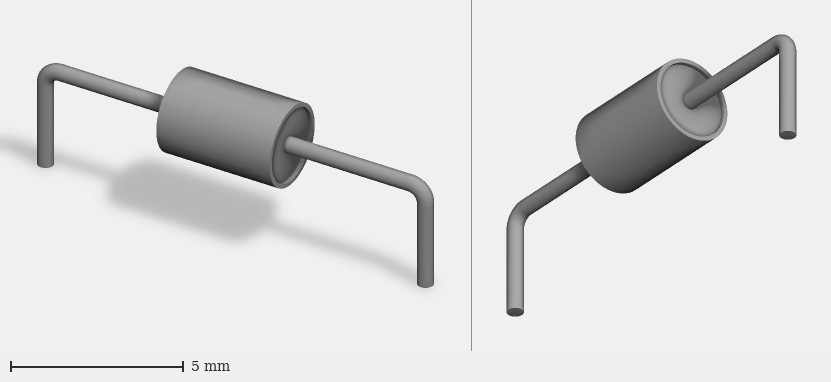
import cadquery as cq

overall_length = 13.2
overall_height = 4.6
body_diameter = 2.6
body_length = 3.79
recess_diameter = 2.34
recess_depth = 0.13
wire_diameter = 0.5

wire_radius = wire_diameter / 2
bend_radius = 1.5 * wire_diameter - wire_radius
leg_x = overall_length / 2 - wire_radius
leg_bottom_z = body_diameter / 2 - overall_height


def make_body():
    """Cylinder with a shallow round recess in each end."""
    body = cq.Workplane("YZ", origin=(-body_length / 2, 0, 0)).circle(body_diameter / 2).extrude(body_length)
    for face in ("<X", ">X"):
        body = body.faces(face).workplane().circle(recess_diameter / 2).cutBlind(-recess_depth)
    return body


def make_lead(side):
    """Round wire from the body centre outward, bent down into a leg; side is -1 or 1."""
    bend_start_x = leg_x - bend_radius
    path = (
        cq.Workplane("XZ")
        .moveTo(0, 0)
        .lineTo(side * bend_start_x, 0)
        .tangentArcPoint((side * leg_x, -bend_radius), relative=False)
        .lineTo(side * leg_x, leg_bottom_z)
    )
    return cq.Workplane("YZ").circle(wire_radius).sweep(path)


result = make_body()
for side in (-1, 1):
    result = result.union(make_lead(side))